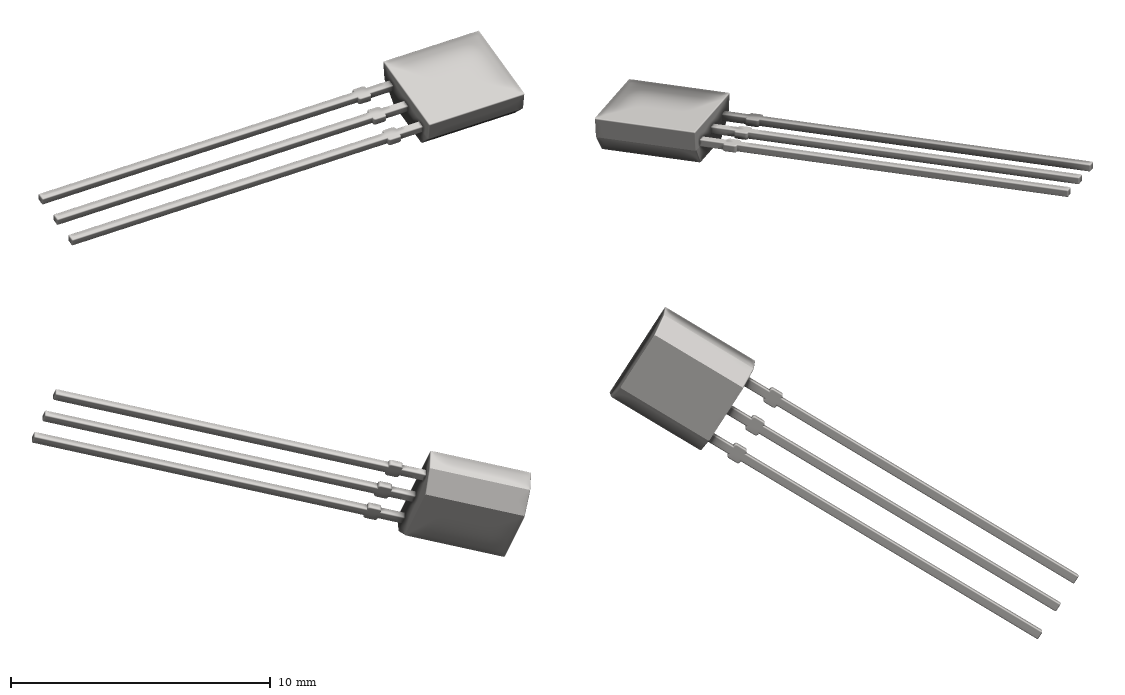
import cadquery as cq

total_length = 19.09
body_width = 4.09
body_length = 4.09
body_height = 1.6

parting_z = 0.77
parting_width = 3.86
bottom_width = 2.5
edge_radius = 0.05
front_draft = 0.06

lead_count = 3
lead_pitch = 1.31
lead_width = 0.36
lead_thickness = 0.3
lead_edge_radius = 0.05
lead_embed = 0.5

bulge_width = 0.64
bulge_start = 0.97
bulge_length = 0.56
bulge_corner_radius = 0.1

lead_length = total_length - body_length
lead_mid_z = parting_z + lead_thickness / 2


def make_body():
    """Six-sided profile run along Y: leaning lower front face, rounded top and end side edges."""
    profile = [
        (-bottom_width / 2, 0),
        (bottom_width / 2, 0),
        (parting_width / 2, parting_z),
        (body_width / 2, body_height),
        (-body_width / 2, body_height),
        (-parting_width / 2, parting_z),
    ]
    body = cq.Workplane("XZ").polyline(profile).close().extrude(-body_length)
    lower_front_wedge = (
        cq.Workplane("YZ")
        .polyline([(0, 0), (front_draft, 0), (0, parting_z)])
        .close()
        .extrude(body_width / 2, both=True)
    )
    body = body.cut(lower_front_wedge)
    top_edges = body.faces(">Z").edges("<Y or |Y")
    end_side_edges = body.edges("not (|X or |Y)")
    return body.newObject(top_edges.vals() + end_side_edges.vals()).fillet(edge_radius)


def make_lead():
    """Straight lead with a widened stand-off, rounded edges all along."""
    shank = (
        cq.Workplane("XY")
        .box(lead_width, lead_length + lead_embed, lead_thickness, centered=(True, False, True))
        .translate((0, -lead_length, 0))
        .edges("|Y or <Y")
        .fillet(lead_edge_radius)
    )
    bulge = (
        cq.Workplane("XY")
        .box(bulge_width, bulge_length, lead_thickness)
        .edges("|Z")
        .fillet(bulge_corner_radius)
        .faces("<Z or >Z")
        .edges()
        .fillet(lead_edge_radius)
        .translate((0, -bulge_start - bulge_length / 2, 0))
    )
    return shank.union(bulge)


result = make_body()
lead = make_lead()
for index in range(lead_count):
    lead_x = (index - (lead_count - 1) / 2) * lead_pitch
    result = result.union(lead.translate((lead_x, 0, lead_mid_z)))